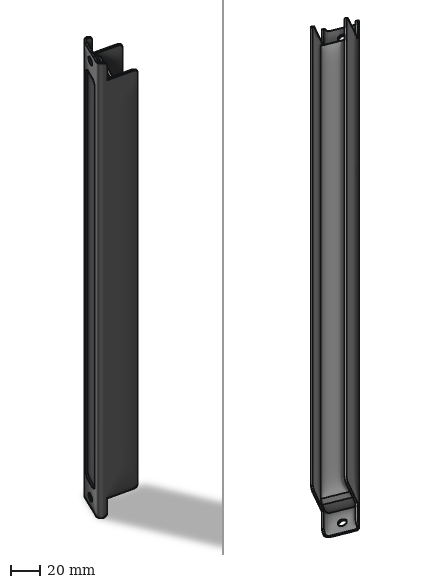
import cadquery as cq

length = 500.0
width = 26.0
depth = 30.0
sheet = 1.5
bend_inner_radius = 2.5
bend_outer_radius = bend_inner_radius + sheet

flange_length = 460.0
end_flange_depth = 7.0
flange_corner_radius = 4.0

hole_diameter = 6.5
hole_spacing = 480.0

window_width = 14.5
window_length = 450.0
window_corner_radius = 4.5
bar_length = 455.0
bar_back = 13.5
bar_chamfer = 3.0

inner_width = width - 2 * sheet


def centred_box(size_x, size_z, y_front, y_back):
    """Box centred in X and Z between two Y positions."""
    size_y = y_back - y_front
    return cq.Workplane("XY").box(size_x, size_y, size_z).translate((0, y_front + size_y / 2, 0))


def bent_channel():
    """U-section with rounded bends, open towards +Y."""
    outer = centred_box(width, length, 0, depth).edges("|Z and <Y").fillet(bend_outer_radius)
    inner = centred_box(inner_width, length, sheet, depth).edges("|Z and <Y").fillet(bend_inner_radius)
    return outer.cut(inner)


def flange_profile():
    """Side outline of the channel: the flanges are cut back at both ends."""
    full_depth = centred_box(width, flange_length, 0, depth)
    full_depth = full_depth.edges("|X and >Y").fillet(flange_corner_radius)
    shallow = centred_box(width, length, 0, end_flange_depth)
    shallow = shallow.edges("|X and >Y").fillet(flange_corner_radius)
    return full_depth.union(shallow)


def mounting_holes():
    return (
        cq.Workplane("XZ")
        .pushPoints([(0, -hole_spacing / 2), (0, hole_spacing / 2)])
        .circle(hole_diameter / 2)
        .extrude(-sheet)
    )


def window():
    """Rounded opening through the web."""
    return centred_box(window_width, window_length, 0, sheet).edges("|Y").fillet(window_corner_radius)


def backing_bar():
    """Bar between the flanges, bevelled at the back of each end."""
    bar = centred_box(inner_width, bar_length, sheet, bar_back)
    return bar.edges("|X and >Y").chamfer(bar_chamfer)


channel = bent_channel().intersect(flange_profile()).cut(mounting_holes()).cut(window())
result = channel.union(backing_bar())